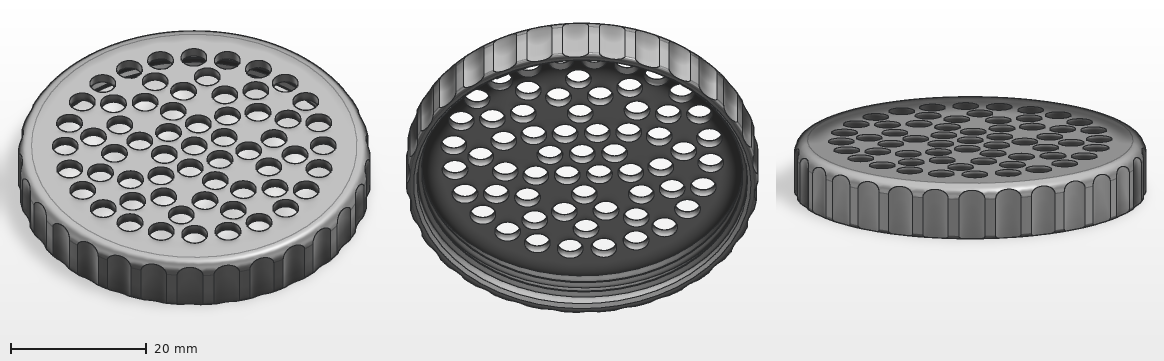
import cadquery as cq
import math

outer_radius = 25.9
height = 8.1
top_rounding = 1.9
bottom_rounding = 0.49

plate_thickness = 1.5
inner_radius = 24.35
mouth_chamfer = 0.5

thread_pitch = 2.0
thread_turns = 2
thread_depth = 0.65
thread_root_width = 1.0
thread_crest_width = 0.2
thread_start_height = 1.25
thread_start_angle = 90.0
thread_overlap = 0.25

flute_count = 30
flute_depth = 0.45
flute_width = 3.85

hole_radius = 3.8 / 2
hole_rings = [
    (4.75, 6, 30.0),
    (8.1, 6, 0.0),
    (11.85, 12, 15.0),
    (15.0, 12, 0.0),
    (19.0, 24, 7.5),
]


def cap_body():
    cap = cq.Workplane("XY").circle(outer_radius).extrude(height)
    cap = cap.faces(">Z").edges().fillet(top_rounding)
    cap = cap.faces("<Z").edges().fillet(bottom_rounding)
    cavity = cq.Workplane("XY").circle(inner_radius).extrude(height - plate_thickness)
    mouth = cq.Workplane("XY").circle(inner_radius + mouth_chamfer).extrude(mouth_chamfer, taper=45)
    return cap.cut(cavity).cut(mouth)


def thread_ridge():
    half_root = thread_root_width / 2
    half_crest = thread_crest_width / 2
    half_base = half_root + thread_overlap * (half_root - half_crest) / thread_depth
    crest_radius = inner_radius - thread_depth
    base_radius = inner_radius + thread_overlap
    section = cq.Workplane("XZ").polyline([
        (base_radius, -half_base),
        (crest_radius, -half_crest),
        (crest_radius, half_crest),
        (base_radius, half_base),
    ]).close()
    helix = cq.Wire.makeHelix(thread_pitch, thread_pitch * thread_turns, inner_radius)
    ridge = section.sweep(cq.Workplane(helix), isFrenet=True)
    ridge = ridge.rotate((0, 0, 0), (0, 0, 1), thread_start_angle)
    return ridge.translate((0, 0, thread_start_height))


def rods_on_ring(ring_radius, count, first_angle, rod_radius):
    ring = cq.Workplane("XY").polarArray(ring_radius, first_angle, 360, count)
    return ring.circle(rod_radius).extrude(height)


def flute_cutters():
    half_width = flute_width / 2
    edge_distance = math.sqrt(outer_radius**2 - half_width**2)
    arc_rise = edge_distance - (outer_radius - flute_depth)
    flute_radius = (half_width**2 + arc_rise**2) / (2 * arc_rise)
    axis_distance = outer_radius - flute_depth + flute_radius
    return rods_on_ring(axis_distance, flute_count, 0, flute_radius)


result = cap_body().union(thread_ridge()).cut(flute_cutters())
result = result.cut(cq.Workplane("XY").circle(hole_radius).extrude(height))
for ring_radius, count, first_angle in hole_rings:
    result = result.cut(rods_on_ring(ring_radius, count, first_angle, hole_radius))
result = result.solids()